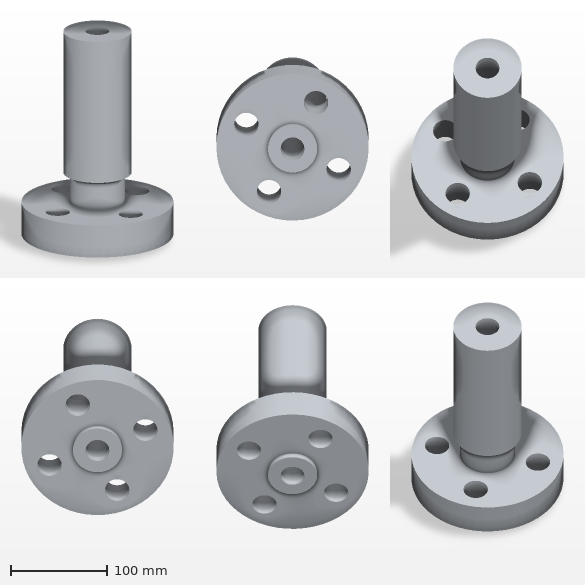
import cadquery as cq

total_height = 228.5
spigot_height = 6.5
flange_thickness = 35.2
neck_length = 28.5
cone_height = 3.7

neck_fillet_radius = 0.5

flange_diameter = 158.6
spigot_diameter = 51.2
neck_diameter = 57.4
barrel_diameter = 71.3
bore_diameter = 24.7

bolt_circle_diameter = 108.0
bolt_hole_diameter = 25.4
bolt_hole_count = 4

flange_bottom = spigot_height
flange_top = flange_bottom + flange_thickness
cone_bottom = flange_top + neck_length
cone_top = cone_bottom + cone_height


def turned_body():
    """Spigot, flange, neck, cone and barrel revolved about Z, still without holes."""
    profile = (
        cq.Workplane("XZ")
        .lineTo(spigot_diameter / 2, 0)
        .lineTo(spigot_diameter / 2, flange_bottom)
        .lineTo(flange_diameter / 2, flange_bottom)
        .lineTo(flange_diameter / 2, flange_top)
        .lineTo(neck_diameter / 2 + neck_fillet_radius, flange_top)
        .radiusArc((neck_diameter / 2, flange_top + neck_fillet_radius), neck_fillet_radius)
        .lineTo(neck_diameter / 2, cone_bottom)
        .lineTo(barrel_diameter / 2, cone_top)
        .lineTo(barrel_diameter / 2, total_height)
        .lineTo(0, total_height)
        .close()
    )
    return profile.revolve(360, (0, 0, 0), (0, 1, 0))


def bore():
    """Central hole through the full height."""
    return cq.Workplane("XY").circle(bore_diameter / 2).extrude(total_height)


def bolt_holes():
    """Holes through the flange, on the X and Y axes."""
    return (
        cq.Workplane("XY", origin=(0, 0, flange_bottom))
        .polarArray(bolt_circle_diameter / 2, 0, 360, bolt_hole_count)
        .circle(bolt_hole_diameter / 2)
        .extrude(flange_thickness)
    )


result = turned_body().cut(bore()).cut(bolt_holes())